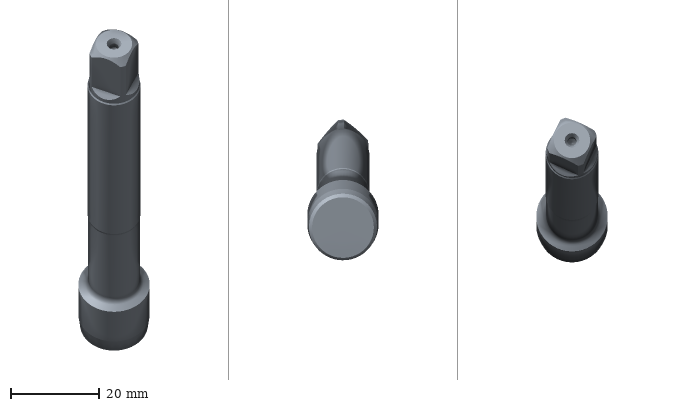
import cadquery as cq
import math

TOTAL_LENGTH = 100.0

HEAD_RADIUS = 16.2 / 2
HEAD_LENGTH = 14.9
LEAD_LENGTH = 4.4
LEAD_END_RADIUS = 7.7
TIP_CHAMFER = 0.7

NECK_RADIUS = 11.7 / 2
SHOULDER_SLOPE = math.radians(30)
NECK_FILLET = 1.5

SHANK_RADIUS = 12.0 / 2
SHANK_BOTTOM = 39.3
SHANK_BOTTOM_BEVEL = 0.6
SHANK_TOP = 85.7
SHANK_TOP_BEVEL = 0.3

DRIVE_RADIUS = 11.5 / 2
SQUARE_SIZE = 9.0
SQUARE_BOTTOM = 88.0
TOP_FACE_RADIUS = 4.1

CENTRE_RADIUS = 2.0 / 2
CENTRE_MOUTH_RADIUS = 3.3 / 2
CENTRE_DEPTH = 2.5
COUNTERSINK_HALF_ANGLE = math.radians(30)
DRILL_HALF_ANGLE = math.radians(60)


def revolve_profile(profile):
    """Turn a closed (radius, z) profile about the Z axis."""
    return profile.close().revolve(360, (0, 0, 0), (0, 1, 0))


def make_head():
    """Cylindrical head with a slightly tapered lead and a chamfered tip."""
    profile = (
        cq.Workplane("XZ")
        .moveTo(0, 0)
        .lineTo(LEAD_END_RADIUS - TIP_CHAMFER, 0)
        .lineTo(LEAD_END_RADIUS, TIP_CHAMFER)
        .lineTo(HEAD_RADIUS, LEAD_LENGTH)
        .lineTo(HEAD_RADIUS, HEAD_LENGTH)
        .lineTo(0, HEAD_LENGTH)
    )
    return revolve_profile(profile)


def make_turned_shank():
    """Shoulder cone, filleted neck, shank and drive blank, all coaxial."""
    fillet_centre_radius = NECK_RADIUS + NECK_FILLET
    cone_end_radius = fillet_centre_radius - NECK_FILLET * math.sin(SHOULDER_SLOPE)
    cone_end_z = HEAD_LENGTH + (HEAD_RADIUS - cone_end_radius) * math.tan(SHOULDER_SLOPE)
    fillet_centre_z = cone_end_z + NECK_FILLET * math.cos(SHOULDER_SLOPE)
    middle_angle = (math.pi / 2 - SHOULDER_SLOPE) / 2
    fillet_middle = (
        fillet_centre_radius - NECK_FILLET * math.cos(middle_angle),
        fillet_centre_z - NECK_FILLET * math.sin(middle_angle),
    )
    top_chamfer = DRIVE_RADIUS - TOP_FACE_RADIUS

    profile = (
        cq.Workplane("XZ")
        .moveTo(0, HEAD_LENGTH)
        .lineTo(HEAD_RADIUS, HEAD_LENGTH)
        .lineTo(cone_end_radius, cone_end_z)
        .threePointArc(fillet_middle, (NECK_RADIUS, fillet_centre_z))
        .lineTo(NECK_RADIUS, SHANK_BOTTOM)
        .lineTo(SHANK_RADIUS, SHANK_BOTTOM + SHANK_BOTTOM_BEVEL)
        .lineTo(SHANK_RADIUS, SHANK_TOP - SHANK_TOP_BEVEL)
        .lineTo(DRIVE_RADIUS, SHANK_TOP)
        .lineTo(DRIVE_RADIUS, TOTAL_LENGTH - top_chamfer)
        .lineTo(TOP_FACE_RADIUS, TOTAL_LENGTH)
        .lineTo(0, TOTAL_LENGTH)
    )
    return revolve_profile(profile)


def make_flat_cutter():
    """Prism that mills the flat on the +X side, with a 45 degree run-out at its foot."""
    flat_x = SQUARE_SIZE / 2
    outer_x = SHANK_RADIUS
    return (
        cq.Workplane("XZ")
        .moveTo(flat_x, SQUARE_BOTTOM)
        .lineTo(outer_x, SQUARE_BOTTOM - (outer_x - flat_x))
        .lineTo(outer_x, TOTAL_LENGTH)
        .lineTo(flat_x, TOTAL_LENGTH)
        .close()
        .extrude(SHANK_RADIUS, both=True)
    )


def make_centre_hole():
    """Countersunk centre hole with a drill-point bottom."""
    sink_depth = (CENTRE_MOUTH_RADIUS - CENTRE_RADIUS) / math.tan(COUNTERSINK_HALF_ANGLE)
    point_depth = CENTRE_RADIUS / math.tan(DRILL_HALF_ANGLE)
    bore_bottom = TOTAL_LENGTH - CENTRE_DEPTH
    profile = (
        cq.Workplane("XZ")
        .moveTo(0, TOTAL_LENGTH)
        .lineTo(CENTRE_MOUTH_RADIUS, TOTAL_LENGTH)
        .lineTo(CENTRE_RADIUS, TOTAL_LENGTH - sink_depth)
        .lineTo(CENTRE_RADIUS, bore_bottom)
        .lineTo(0, bore_bottom - point_depth)
    )
    return revolve_profile(profile)


def make_shank():
    """Turned shank with the square drive milled and the centre hole drilled."""
    shank = make_turned_shank()
    flat_cutter = make_flat_cutter()
    for angle in (0, 90, 180, 270):
        shank = shank.cut(flat_cutter.rotate((0, 0, 0), (0, 0, 1), angle))
    return shank.cut(make_centre_hole())


head = make_head()
shank = make_shank()

result = cq.Compound.makeCompound([head.val(), shank.val()])